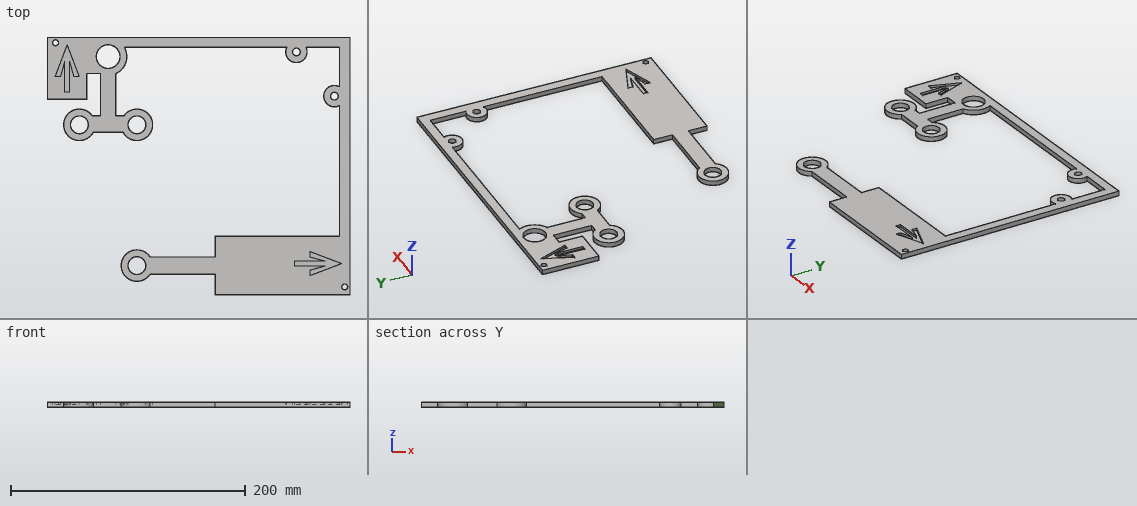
import cadquery as cq

length = 257.74
width = 219.32
thickness = 4.5

top_bar = 8.5
right_bar = 9.0

left_plate = (33.6, 52.8)
right_plate = (115.0, 50.0)

ring_wall = 6.0
large_bore = 20.0
guide_bore = 15.0
screw_bore = 6.4
pin_bore = 4.8

large_center = (51.7, width - 16.3)
guide_spacing = 49.0
upper_guide_y = width - 74.4
guide_centers = [(large_center[0] + side * guide_spacing / 2, upper_guide_y) for side in (-1, 1)]
lower_guide_center = (guide_centers[1][0], right_plate[1] / 2)
screw_centers = [(length - 45.7, width - 12.3), (length - 13.3, width - 50.0)]
pin_near_edge = 4.5
pin_far_edge = 6.9
pin_centers = [(pin_far_edge, width - pin_near_edge), (length - pin_near_edge, pin_far_edge)]

stem_width = 13.2
cross_arm_width = 14.2
cross_arm_rise = 0.7
lower_arm_width = 15.0
web_depth = 30.9

arrow_length = 40.0
arrow_head_length = 27.0
arrow_head_width = 20.5
arrow_shaft_width = 4.2
arrow_barb_width = 4.6
arrow_notch_rise = 12.8
arrow_depth = 2.0
up_arrow_tip = (16.8, width - 6.3)
right_arrow_tip = (length - 7.2, 26.7)


def plate(x_min, x_max, y_min, y_max):
    """Full-thickness rectangle between the given limits."""
    size_x = x_max - x_min
    size_y = y_max - y_min
    return cq.Workplane("XY").box(size_x, size_y, thickness, centered=False).translate((x_min, y_min, 0))


def disc(center, diameter):
    """Full-thickness cylinder at the given centre."""
    return cq.Workplane("XY").center(*center).circle(diameter / 2).extrude(thickness)


def arrow_cutter(tip, angle):
    """Barbed arrow pointing along +Y, turned by angle about its tip, sunk from the top face."""
    half_head = arrow_head_width / 2
    half_shaft = arrow_shaft_width / 2
    right_side = [
        (half_head, -arrow_head_length),
        (half_head - arrow_barb_width, -arrow_head_length),
        (half_shaft, arrow_notch_rise - arrow_head_length),
        (half_shaft, -arrow_length),
    ]
    left_side = [(-x, y) for x, y in reversed(right_side)]
    arrow = cq.Workplane("XY").polyline([(0, 0)] + right_side + left_side).close().extrude(arrow_depth)
    return arrow.rotate((0, 0, 0), (0, 0, 1), angle).translate((*tip, thickness - arrow_depth))


def frame():
    """Top and right bars with the plates at their free ends."""
    body = plate(0, length, width - top_bar, width)
    body = body.union(plate(length - right_bar, length, 0, width))
    body = body.union(plate(0, left_plate[0], width - left_plate[1], width))
    return body.union(plate(length - right_plate[0], length, 0, right_plate[1]))


def arms():
    """Web and T-shaped arm at the upper left, straight arm at the lower right."""
    stem_x = large_center[0]
    stem_left = stem_x - stem_width / 2
    stem_right = stem_x + stem_width / 2
    half_cross = cross_arm_width / 2
    half_lower = lower_arm_width / 2
    cross_y = upper_guide_y + cross_arm_rise
    lower_x, lower_y = lower_guide_center

    web = plate(0, stem_right, width - web_depth, width)
    stem = plate(stem_left, stem_right, upper_guide_y, width - top_bar)
    cross_arm = plate(guide_centers[0][0], guide_centers[1][0], cross_y - half_cross, cross_y + half_cross)
    lower_arm = plate(lower_x, length - right_bar, lower_y - half_lower, lower_y + half_lower)
    return web.union(stem).union(cross_arm).union(lower_arm)


ringed_holes = [(large_center, large_bore), (lower_guide_center, guide_bore)]
ringed_holes += [(center, guide_bore) for center in guide_centers]
ringed_holes += [(center, screw_bore) for center in screw_centers]
plain_holes = [(center, pin_bore) for center in pin_centers]

result = frame().union(arms())
for center, bore in ringed_holes:
    result = result.union(disc(center, bore + 2 * ring_wall))
for center, bore in ringed_holes + plain_holes:
    result = result.cut(disc(center, bore))
result = result.cut(arrow_cutter(up_arrow_tip, 0))
result = result.cut(arrow_cutter(right_arrow_tip, -90))